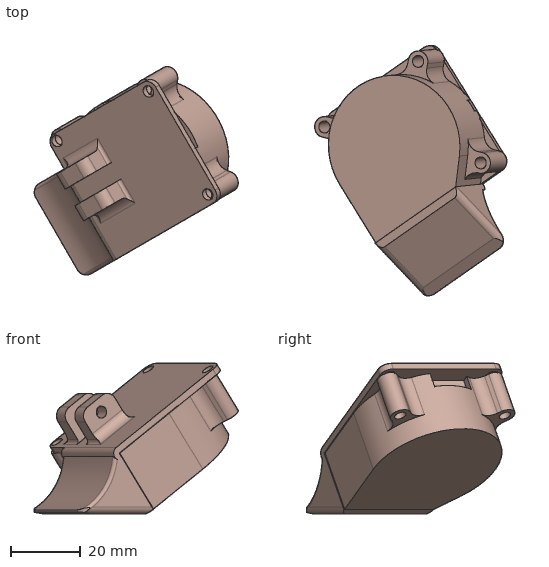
import cadquery as cq
import math

HEADING = 30.0
SLOPE = 35.0
REAR_LEFT_HOLE = (3.5, 22.67, 19.83)

SCREW_DIAMETER = 3.4
CORNER_RADIUS = 3.0

LID_WIDTH = 40.0
LID_LENGTH = 42.0
LID_THICKNESS = 2.0
LID_LEFT = -CORNER_RADIUS
LID_RIGHT = LID_LEFT + LID_WIDTH
LID_REAR = CORNER_RADIUS
LID_FRONT = LID_REAR - LID_LENGTH

HOUSING_RADIUS = 20.2
HOUSING_CENTRE = (16.5, -19.0)
HOUSING_DEPTH = 19.6
HOUSING_TOP = -LID_THICKNESS
HOUSING_BOTTOM = HOUSING_TOP - HOUSING_DEPTH
BOSS_OFFSET = 17.3
BOSS_RADIUS = 3.0
BOSS_DEPTH = 13.0
BOSS_FILLET = 4.0
FRONT_BLEND_SHIFT = 5.0
SIDE_NOTCH_WIDTH = 3.7
SIDE_NOTCH_DEPTH = 2.0
NOTCH_REACH = 4.0
REAR_SLOT_LEFT = 8.0
REAR_SLOT_RIGHT = 20.8
REAR_SLOT_DEPTH = 4.5

LID_HOLES = [
    (LID_LEFT + CORNER_RADIUS, LID_REAR - CORNER_RADIUS),
    (LID_RIGHT - CORNER_RADIUS, LID_REAR - CORNER_RADIUS),
    (HOUSING_CENTRE[0] - BOSS_OFFSET, HOUSING_CENTRE[1] - BOSS_OFFSET),
]

SADDLE_LEFT = 7.15
SADDLE_WIDTH = LID_RIGHT - SADDLE_LEFT
BASE_HEIGHT = -41.47
LIP_RADIUS = LID_THICKNESS
LIP_END_HEIGHT = -25.0
TIP_REACH = -43.1
TIP_TOP = -40.2
TIP_THICKNESS = 0.6
TIP_UNDERCUT = 4.0
SADDLE_RADIUS = 18.5
SADDLE_EDGE_FILLET = 1.0
SADDLE_BOTTOM_FILLET = 2.0
SADDLE_TIP_RADIUS = 3.0

EAR_THICKNESS = 5.0
EAR_GAP = 5.5
EAR_GAP_CENTRE = 15.05
EAR_LENGTH = 12.0
EAR_CENTRE = -30.5
EAR_HEIGHT = 10.2
EAR_ROUNDING = 3.0
EAR_HOLE_HEIGHT = 6.4
EAR_SIDE_FILLET = 3.0
EAR_END_FILLET = 1.0

SIN_SLOPE = math.sin(math.radians(SLOPE))
COS_SLOPE = math.cos(math.radians(SLOPE))
SIN_HEADING = math.sin(math.radians(HEADING))
COS_HEADING = math.cos(math.radians(HEADING))
ACROSS = cq.Vector(SIN_HEADING, -COS_HEADING, 0)
UP = cq.Vector(-SIN_SLOPE * COS_HEADING, -SIN_SLOPE * SIN_HEADING, COS_SLOPE)
LID_PLANE = cq.Plane(origin=REAR_LEFT_HOLE, xDir=ACROSS, normal=UP)
FAR = 100.0


def level(height):
    """Workplane parallel to the lid at a height along the lid's normal."""
    return cq.Workplane("XY").workplane(offset=height)


def quarter_bow(radius):
    """Inset of the middle of a quarter arc from the two lines it touches."""
    return radius * (1 - math.sqrt(0.5))


def to_level_ground(along, up):
    """Horizontal reach and height of a point given in the tilted frame."""
    return (along * COS_SLOPE - up * SIN_SLOPE, along * SIN_SLOPE + up * COS_SLOPE)


def housing_block():
    """Round body with one straight wall on the right and one slanted wall on the left."""
    cx, cy = HOUSING_CENTRE
    corner = (SADDLE_LEFT, LID_FRONT)
    bearing = math.atan2(corner[1] - cy, corner[0] - cx)
    touch = bearing - math.acos(HOUSING_RADIUS / math.dist(HOUSING_CENTRE, corner))
    tangent = (cx + HOUSING_RADIUS * math.cos(touch), cy + HOUSING_RADIUS * math.sin(touch))
    return (
        level(HOUSING_TOP)
        .moveTo(cx + HOUSING_RADIUS, LID_FRONT)
        .lineTo(cx + HOUSING_RADIUS, cy)
        .threePointArc((cx, cy + HOUSING_RADIUS), tangent)
        .lineTo(*corner)
        .close()
        .extrude(-HOUSING_DEPTH)
    )


def boss_web(angle, sides):
    """Screw boss on a radial web; on the given sides the web blends into the round wall."""
    distance = BOSS_OFFSET * math.sqrt(2)
    blend_offset = BOSS_RADIUS + BOSS_FILLET
    blend_reach = math.sqrt((HOUSING_RADIUS + BOSS_FILLET) ** 2 - blend_offset**2)
    web = level(HOUSING_TOP).center(distance, 0).circle(BOSS_RADIUS).extrude(-BOSS_DEPTH)
    for side in sides:
        flank = (
            level(HOUSING_TOP)
            .lineTo(blend_reach, side * blend_offset)
            .lineTo(blend_reach, side * BOSS_RADIUS)
            .lineTo(distance, side * BOSS_RADIUS)
            .lineTo(distance, 0)
            .close()
            .extrude(-BOSS_DEPTH)
        )
        blend = (
            level(HOUSING_TOP)
            .center(blend_reach, side * blend_offset)
            .circle(BOSS_FILLET)
            .extrude(-BOSS_DEPTH)
        )
        web = web.union(flank.cut(blend))
    return web.rotate((0, 0, 0), (0, 0, 1), angle).translate((*HOUSING_CENTRE, 0))


def front_boss_blend():
    """Hollow blend from the front left boss to the slanted wall, ending at the saddle."""
    boss_x = HOUSING_CENTRE[0] - BOSS_OFFSET
    boss_y = HOUSING_CENTRE[1] - BOSS_OFFSET
    blend_x = boss_x + FRONT_BLEND_SHIFT
    blend_y = boss_y - math.sqrt((BOSS_RADIUS + BOSS_FILLET) ** 2 - FRONT_BLEND_SHIFT**2)
    filler = (
        level(HOUSING_TOP)
        .moveTo(*HOUSING_CENTRE)
        .lineTo(boss_x, boss_y)
        .lineTo(blend_x, blend_y)
        .lineTo(SADDLE_LEFT, blend_y)
        .lineTo(SADDLE_LEFT, LID_FRONT)
        .close()
        .extrude(-BOSS_DEPTH)
    )
    blend = level(HOUSING_TOP).center(blend_x, blend_y).circle(BOSS_FILLET).extrude(-BOSS_DEPTH)
    ahead = (
        level(HOUSING_TOP)
        .center(boss_x, LID_FRONT - FAR / 2)
        .rect(FAR, FAR)
        .extrude(-BOSS_DEPTH)
    )
    return filler.cut(blend).cut(ahead)


def boss_screw_holes():
    cx, cy = HOUSING_CENTRE
    centres = [(cx + sx * BOSS_OFFSET, cy + sy * BOSS_OFFSET) for sx, sy in ((-1, 1), (1, 1), (-1, -1))]
    return level(HOUSING_TOP).pushPoints(centres).circle(SCREW_DIAMETER / 2).extrude(-BOSS_DEPTH)


def side_notch():
    """Small notch in the left rim."""
    cx, cy = HOUSING_CENTRE
    return (
        level(HOUSING_TOP)
        .center(cx - HOUSING_RADIUS, cy)
        .rect(2 * NOTCH_REACH, SIDE_NOTCH_WIDTH)
        .extrude(-SIDE_NOTCH_DEPTH)
    )


def rear_slot():
    """Wide slot in the rear rim."""
    rear = HOUSING_CENTRE[1] + HOUSING_RADIUS
    return (
        level(HOUSING_TOP)
        .center((REAR_SLOT_LEFT + REAR_SLOT_RIGHT) / 2, rear)
        .rect(REAR_SLOT_RIGHT - REAR_SLOT_LEFT, 2 * NOTCH_REACH)
        .extrude(-REAR_SLOT_DEPTH)
    )


def make_housing():
    body = housing_block()
    for angle, sides in ((45, (-1, 1)), (135, (-1, 1)), (225, (-1,))):
        body = body.union(boss_web(angle, sides))
    body = body.union(front_boss_blend())
    return body.cut(boss_screw_holes()).cut(side_notch()).cut(rear_slot())


def lid_plate():
    """Plate with three round corners; the front right corner is square."""
    plate = (
        level(HOUSING_TOP)
        .center((LID_LEFT + LID_RIGHT) / 2, (LID_REAR + LID_FRONT) / 2)
        .rect(LID_WIDTH, LID_LENGTH)
        .extrude(LID_THICKNESS)
    )
    return plate.edges("|Z and (<X or >Y)").fillet(CORNER_RADIUS)


def saddle_block():
    """Saddle profile with a rounded lip and a hollow cradle, in level axes (Y reach, Z height)."""
    crest = to_level_ground(LID_FRONT, 0)
    lip_centre = to_level_ground(LID_FRONT, HOUSING_TOP)
    lip_front = (lip_centre[0] - LIP_RADIUS, lip_centre[1])
    lip_drop = LIP_END_HEIGHT - lip_centre[1]
    lip_end = (lip_centre[0] - math.sqrt(LIP_RADIUS**2 - lip_drop**2), LIP_END_HEIGHT)
    foot = to_level_ground(LID_FRONT, (BASE_HEIGHT - LID_FRONT * SIN_SLOPE) / COS_SLOPE)
    block = (
        cq.Workplane("YZ", origin=(SADDLE_LEFT, 0, 0))
        .moveTo(*crest)
        .threePointArc(lip_front, lip_end)
        .radiusArc((TIP_REACH, TIP_TOP), SADDLE_RADIUS)
        .lineTo(TIP_REACH, TIP_TOP - TIP_THICKNESS)
        .lineTo(TIP_REACH + TIP_UNDERCUT, BASE_HEIGHT)
        .lineTo(*foot)
        .close()
        .extrude(SADDLE_WIDTH)
    )
    cradle_sides = cq.selectors.BoxSelector(
        (SADDLE_LEFT - 1, TIP_REACH, TIP_TOP),
        (LID_RIGHT + 1, lip_end[0], LIP_END_HEIGHT),
    )
    return block.edges(cradle_sides).fillet(SADDLE_EDGE_FILLET)


def saddle():
    """Saddle wedge with a rounded tip and rounded bottom sides, tilted into the lid's frame."""
    middle = SADDLE_LEFT + SADDLE_WIDTH / 2
    round_tip = (
        cq.Workplane("XY", origin=(middle, TIP_REACH + FAR / 2, BASE_HEIGHT))
        .rect(SADDLE_WIDTH, FAR)
        .extrude(FAR)
        .edges("|Z and <Y")
        .fillet(SADDLE_TIP_RADIUS)
    )
    round_keel = (
        cq.Workplane("XZ", origin=(middle, 0, BASE_HEIGHT + FAR / 2))
        .rect(SADDLE_WIDTH, FAR)
        .extrude(FAR)
        .edges("|Y and <Z")
        .fillet(SADDLE_BOTTOM_FILLET)
    )
    block = saddle_block().intersect(round_tip).intersect(round_keel)
    below_housing = level(HOUSING_BOTTOM).rect(2 * FAR, 2 * FAR).extrude(-FAR)
    return block.rotate((0, 0, 0), (1, 0, 0), -SLOPE).cut(below_housing)


def ear_side_profile():
    """Ear outline with rounded top corners and flared ends, swept far across the lid."""
    low = EAR_CENTRE - EAR_LENGTH / 2
    high = EAR_CENTRE + EAR_LENGTH / 2
    bow = quarter_bow(EAR_END_FILLET)
    return (
        cq.Workplane("YZ")
        .moveTo(low - EAR_END_FILLET, 0)
        .threePointArc((low - bow, bow), (low, EAR_END_FILLET))
        .lineTo(low, EAR_HEIGHT)
        .lineTo(high, EAR_HEIGHT)
        .lineTo(high, EAR_END_FILLET)
        .threePointArc((high + bow, bow), (high + EAR_END_FILLET, 0))
        .close()
        .extrude(FAR, both=True)
        .edges("|X and >Z")
        .fillet(EAR_ROUNDING)
    )


def ear(side):
    """One ear, left (side -1) or right (side +1) of the gap; its outer face flares into the lid."""
    inner = EAR_GAP / 2
    outer = inner + EAR_THICKNESS
    bow = quarter_bow(EAR_SIDE_FILLET)
    end_profile = (
        cq.Workplane("XZ")
        .moveTo(side * inner, 0)
        .lineTo(side * (outer + EAR_SIDE_FILLET), 0)
        .threePointArc((side * (outer + bow), bow), (side * outer, EAR_SIDE_FILLET))
        .lineTo(side * outer, EAR_HEIGHT)
        .lineTo(side * inner, EAR_HEIGHT)
        .close()
        .extrude(FAR, both=True)
    )
    pin_hole = (
        cq.Workplane("YZ")
        .center(EAR_CENTRE, EAR_HOLE_HEIGHT)
        .circle(SCREW_DIAMETER / 2)
        .extrude(FAR, both=True)
    )
    return ear_side_profile().intersect(end_profile).cut(pin_hole).translate((EAR_GAP_CENTRE, 0, 0))


def make_lid():
    lid = lid_plate().union(saddle())
    for side in (-1, 1):
        lid = lid.union(ear(side))
    screw_holes = level(0).pushPoints(LID_HOLES).circle(SCREW_DIAMETER / 2).extrude(-LID_THICKNESS)
    return lid.cut(screw_holes)


in_place = cq.Location(LID_PLANE)
housing = make_housing().val().moved(in_place)
lid = make_lid().val().moved(in_place)
result = cq.Compound.makeCompound([*housing.Solids(), *lid.Solids()])